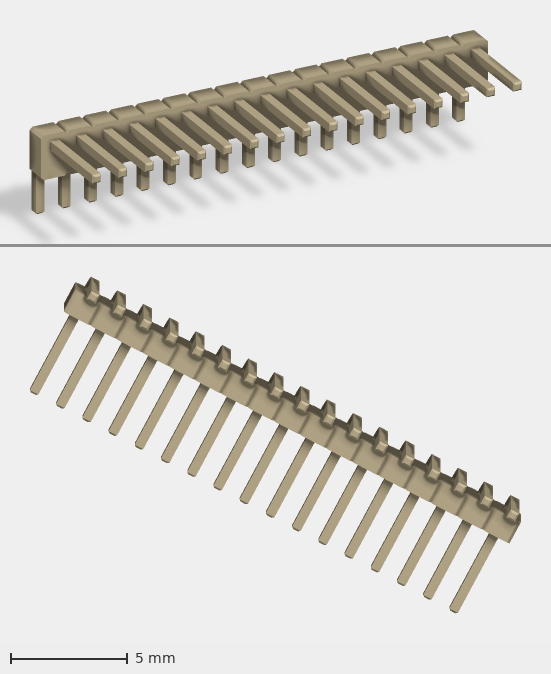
import cadquery as cq

pin_count = 17
row_length = 21.6
overall_width = 5.7
overall_height = 4.35

housing_width = 1.05
housing_height = 2.1
housing_offset = 0.65
housing_chamfer = 0.13

pin_size = 0.4
pin_drop = 0.52
bend_inner_radius = 0.2
tip_chamfer = 0.09

pitch = row_length / pin_count
bend_outer_radius = bend_inner_radius + pin_size
pin_top = overall_height - pin_drop + pin_size / 2
pin_bottom = pin_top - pin_size
bend_center_z = pin_top - bend_outer_radius
first_pin_y = -(row_length - pitch) / 2


def housing_segment(center_y):
    """One housing block with its four X-running edges bevelled."""
    return (
        cq.Workplane("XY")
        .box(housing_width, pitch, housing_height, centered=(False, True, False))
        .edges("|X")
        .chamfer(housing_chamfer)
        .translate((housing_offset, center_y, overall_height - housing_height))
    )


def pin(center_y):
    """One square right-angle pin: leg down along Z, tail out along +X, both tips bevelled."""
    profile = (
        cq.Workplane("XZ")
        .moveTo(0, 0)
        .lineTo(0, bend_center_z)
        .radiusArc((bend_outer_radius, pin_top), bend_outer_radius)
        .lineTo(overall_width, pin_top)
        .lineTo(overall_width, pin_bottom)
        .lineTo(bend_outer_radius, pin_bottom)
        .radiusArc((pin_size, bend_center_z), -bend_inner_radius)
        .lineTo(pin_size, 0)
        .close()
    )
    bent_bar = profile.extrude(pin_size / 2, both=True)
    return (
        bent_bar
        .faces("<Z").chamfer(tip_chamfer)
        .faces(">X").chamfer(tip_chamfer)
        .translate((0, center_y, 0))
    )


pin_positions = [first_pin_y + index * pitch for index in range(pin_count)]

result = housing_segment(pin_positions[0])
for center_y in pin_positions[1:]:
    result = result.union(housing_segment(center_y))
for center_y in pin_positions:
    result = result.union(pin(center_y))